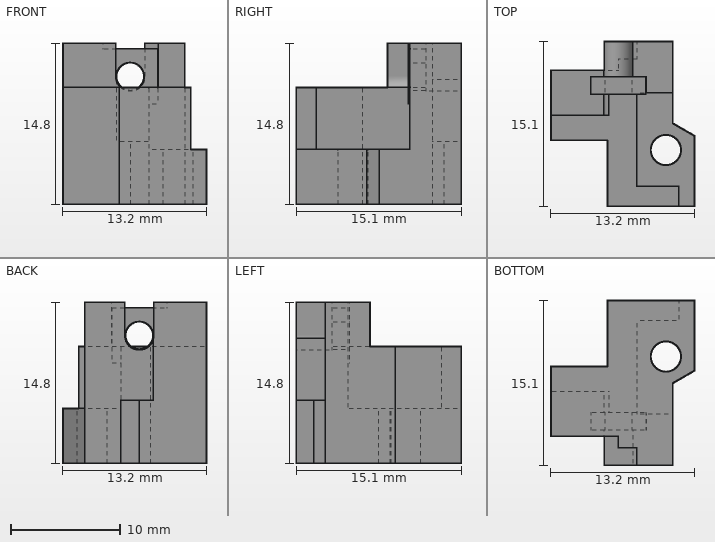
import cadquery as cq

length_x = 13.15
length_y = 15.1
height = 14.77
wall_height = 10.7
foot_height = 5.05

left_wall_x = 5.18
wall_inner_x = 7.87
tall_right_x = 11.16
front_wall_end_x = 11.72

front_wall_thickness = 1.81
left_front_y = 6.04
left_block_front_y = 8.34
left_block_rear_y = 12.45
right_block_front_y = 10.39
foot_slant_start_y = 6.45
foot_slant_end_y = 7.6

screw_x = 6.16
screw_z = 11.72
channel_diameter = 2.65
channel_left_x = screw_x - channel_diameter / 2
rear_side_inset = 0.023
rear_left_x = channel_left_x + rear_side_inset

nut_width = 5.06
nut_front_y = 10.24
nut_thickness = 1.62
nut_hole_diameter = 2.5
nut_side_gap = 0.05
nut_left_x = screw_x - nut_width / 2
nut_top_z = 14.27
nut_bottom_z = nut_top_z - nut_width

foot_hole_diameter = 2.75
foot_hole_x = 10.52
foot_hole_y = 5.15

recess_height = 5.78
recess_step_y = 13.48
recess_shallow_x = screw_x
recess_deep_x = wall_inner_x


def box(x_range, y_range, z_range):
    """Axis-aligned block between the given limits."""
    sizes = [end - start for start, end in (x_range, y_range, z_range)]
    corner = (x_range[0], y_range[0], z_range[0])
    return cq.Workplane("XY").box(*sizes, centered=False).translate(corner)


def rod_along_y(diameter, y_start, y_end):
    """Cylinder on the screw axis."""
    start = cq.Workplane("XZ", origin=(screw_x, y_start, screw_z))
    return start.circle(diameter / 2).extrude(y_start - y_end)


def make_lower_body():
    """Foot and walls up to the wall height."""
    foot_outline = [
        (left_wall_x, 0),
        (length_x, 0),
        (length_x, foot_slant_start_y),
        (tall_right_x, foot_slant_end_y),
        (tall_right_x, right_block_front_y),
        (left_wall_x, right_block_front_y),
    ]
    foot = cq.Workplane("XY").polyline(foot_outline).close().extrude(foot_height)
    side_wall = box((left_wall_x, wall_inner_x), (0, right_block_front_y), (0, wall_height))
    front_wall = box((left_wall_x, front_wall_end_x), (0, front_wall_thickness), (0, wall_height))
    left_base = box((0, left_wall_x), (left_front_y, left_block_rear_y), (0, wall_height))
    return foot.union(side_wall).union(front_wall).union(left_base)


def make_tall_blocks():
    """Left block and rear block, with the screw channel between them."""
    left = box((0, channel_left_x), (left_block_front_y, left_block_rear_y), (0, height))
    channel_corner = box(
        (channel_left_x, screw_x),
        (left_block_front_y, right_block_front_y),
        (wall_height, screw_z),
    )
    rear_left = box(
        (channel_left_x, rear_left_x), (right_block_front_y, left_block_rear_y), (0, screw_z)
    )
    rear = box((rear_left_x, tall_right_x), (right_block_front_y, length_y), (0, height))
    blocks = left.union(channel_corner).union(rear_left).union(rear)

    round_floor = rod_along_y(channel_diameter, left_block_front_y, length_y)
    open_top = box(
        (channel_left_x, channel_left_x + channel_diameter),
        (left_block_front_y, length_y),
        (screw_z, height),
    )
    return blocks.cut(round_floor).cut(open_top)


def cut_rear_recess(body):
    """Remove the two steps under the left side of the rear block."""
    shallow = box(
        (channel_left_x, recess_shallow_x), (left_block_rear_y, length_y), (0, recess_height)
    )
    deep = box((channel_left_x, recess_deep_x), (recess_step_y, length_y), (0, recess_height))
    return body.cut(shallow).cut(deep)


def fit_nut(body):
    """Open the nut pocket and set the square nut with its screw hole into it."""
    nut_x = (nut_left_x, nut_left_x + nut_width)
    nut_y = (nut_front_y, nut_front_y + nut_thickness)
    pocket = box((nut_x[0], nut_x[1] + nut_side_gap), nut_y, (wall_height, height))
    nut = box(nut_x, nut_y, (nut_bottom_z, nut_top_z))
    return body.cut(pocket).union(nut).cut(rod_along_y(nut_hole_diameter, *nut_y))


body = make_tall_blocks().union(make_lower_body())
body = fit_nut(cut_rear_recess(body))
foot_hole = (
    cq.Workplane("XY")
    .center(foot_hole_x, foot_hole_y)
    .circle(foot_hole_diameter / 2)
    .extrude(foot_height)
)
result = body.cut(foot_hole)